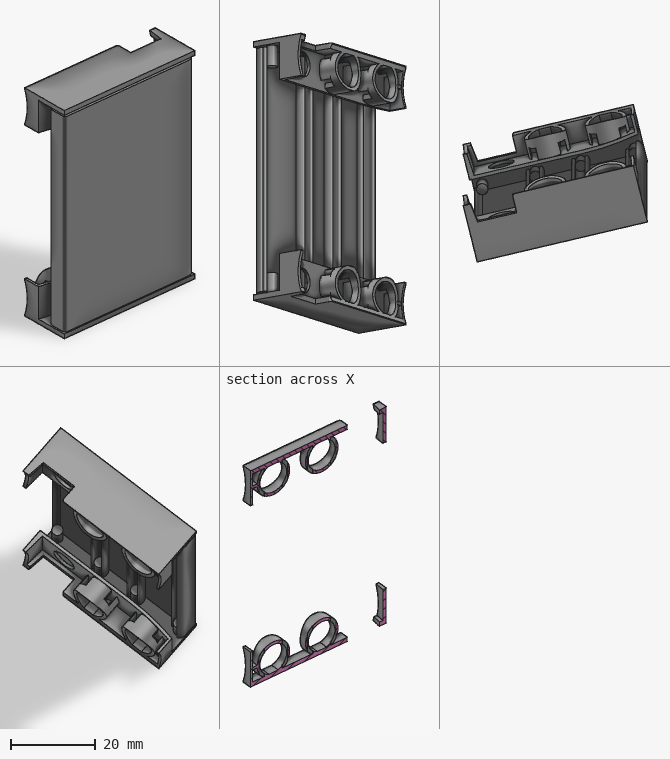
import cadquery as cq
import math


length_z = 63.0
width_y = 41.45
depth_x = 14.3

bracket_height = 10.3
bracket_depth = 14.1
plate_thickness = 1.3
wall_front_x = 5.6
wall_thickness = 0.8
wall_back_x = wall_front_x + wall_thickness
bend_start_y = 13.7
bend_setback = 1.5
bend_radius = (bend_start_y ** 2 + bend_setback ** 2) / (2 * bend_setback)
near_flange = 0.7
far_flange_tip = 0.9
far_flange_root = 1.3
mid_z = bracket_height / 2

notch_step = 0.95
notch_depth = wall_front_x - notch_step
notch_near_y = width_y - 11.9
notch_far_tip = 1.75
notch_far_root = 2.4
notch_round = 0.6

ring_centres_y = [7.0, 21.75]
ring_diameter = 10.1
ring_bore = 8.1
ring_slot_near = 2.8
ring_slot_far = 4.35
ring_slot_depth = 2.85
access_hole_y = 33.5
access_hole_diameter = 6.2
rib_thickness = 0.9
rib_front_x = 1.0

hollow_depth = 0.9
hollow_land = 0.25
hollow_half_height = mid_z - hollow_land
hollow_radius = (hollow_half_height ** 2 + hollow_depth ** 2) / (2 * hollow_depth)

pin_diameter = 2.7
pin_top_z = 6.3
pin_x = 10.2
channel_inner = pin_diameter / 2
channel_wall = 0.8
channel_outer = channel_inner + channel_wall
near_channel_y = channel_outer
far_channel_y = width_y - channel_outer
middle_channels_y = [15.25, 26.35]
pin_centres_y = [near_channel_y, *middle_channels_y, far_channel_y]

near_channel_span = (-143.0, 90.0)
middle_channel_span = (-115.0, 115.0)
far_channel_span = (15.0, 65.0)

end_gap = 1.75
web_front_x = 11.6
near_corner_round = 0.9
far_corner_round = channel_outer
far_front_round = 0.4


def block(x0, x1, y0, y1, z0, z1):
    """Box between the given limits."""
    return cq.Workplane("XY").box(x1 - x0, y1 - y0, z1 - z0, centered=False).translate((x0, y0, z0))


def rod_x(y, diameter, x0, x1):
    """Cylinder along X at the middle of the bracket's height."""
    return cq.Workplane("YZ", origin=(x0, y, mid_z)).circle(diameter / 2).extrude(x1 - x0)


def make_plate():
    """End plate with the tapered notch in its front edge."""
    plate = block(0, bracket_depth, 0, width_y, 0, plate_thickness)
    notch = (
        cq.Workplane("XY")
        .moveTo(0, notch_near_y)
        .lineTo(notch_depth, notch_near_y)
        .lineTo(notch_depth, width_y - notch_far_root)
        .lineTo(0, width_y - notch_far_tip)
        .close()
        .extrude(plate_thickness)
    )
    mouth_corner = cq.selectors.NearestToPointSelector((0, notch_near_y, plate_thickness / 2))
    return plate.cut(notch).edges(mouth_corner).fillet(notch_round)


def space_before_wall(flat_x, radius):
    """Full-height space from x = 0 to a face that is flat at flat_x and bends forward on a radius."""

    def bent_x(y):
        return flat_x - radius + math.sqrt(radius ** 2 - (bend_start_y - y) ** 2)

    return (
        cq.Workplane("XY")
        .lineTo(bent_x(0), 0)
        .threePointArc((bent_x(bend_start_y / 2), bend_start_y / 2), (flat_x, bend_start_y))
        .lineTo(flat_x, width_y)
        .lineTo(0, width_y)
        .close()
        .extrude(bracket_height)
    )


def make_flanges():
    """Side flanges that run forward from both ends of the wall."""
    near = block(0, wall_back_x - bend_setback, 0, near_flange, 0, bracket_height)
    far = (
        cq.Workplane("XY")
        .moveTo(0, width_y)
        .lineTo(0, width_y - far_flange_tip)
        .lineTo(wall_front_x, width_y - far_flange_root)
        .lineTo(wall_back_x, width_y - far_flange_root)
        .lineTo(wall_back_x, width_y)
        .close()
        .extrude(bracket_height)
    )
    return near.union(far)


def make_ring(y):
    """Ring in front of the wall, with two slots along Z at its wall end."""
    ring = rod_x(y, ring_diameter, 0, wall_front_x).cut(rod_x(y, ring_bore, 0, wall_front_x))
    for near, far in [(-ring_slot_far, -ring_slot_near), (ring_slot_near, ring_slot_far)]:
        slot = block(wall_front_x - ring_slot_depth, wall_front_x, y + near, y + far, 0, bracket_height)
        ring = ring.cut(slot)
    return ring


def make_rib():
    """Thin rib between the first ring and the near flange."""
    ring_edge_y = ring_centres_y[0] - (ring_diameter + ring_bore) / 4
    return block(
        rib_front_x, wall_front_x - bend_setback,
        0, ring_edge_y,
        mid_z - rib_thickness / 2, mid_z + rib_thickness / 2,
    )


def make_bracket():
    """Lower end bracket with its four pins."""
    before_back = space_before_wall(wall_back_x, bend_radius)
    wall = before_back.cut(space_before_wall(wall_front_x, bend_radius - wall_thickness))
    bracket = wall.cut(rod_x(access_hole_y, access_hole_diameter, 0, bracket_depth))
    bracket = bracket.union(make_flanges()).union(make_plate())
    for y in ring_centres_y:
        bracket = bracket.union(make_ring(y).intersect(before_back))
    bracket = bracket.union(make_rib())
    hollow = (
        cq.Workplane("XZ", origin=(hollow_depth - hollow_radius, 0, mid_z))
        .circle(hollow_radius)
        .extrude(-width_y)
    )
    bracket = bracket.cut(hollow)
    for y in pin_centres_y:
        pin = cq.Workplane("XY").center(pin_x, y).circle(pin_diameter / 2).extrude(pin_top_z)
        bracket = bracket.union(pin)
    return bracket


def channel_point(y, radius, angle):
    """Point at a radius and an angle in degrees about the axis of the channel at y."""
    turn = math.radians(angle)
    return (pin_x + radius * math.cos(turn), y + radius * math.sin(turn))


def make_channel(y, span, height):
    """Open round channel: an arc of tube whose ends are rounded into lips."""
    start, end = span
    middle = (start + end) / 2
    channel = (
        cq.Workplane("XY")
        .moveTo(*channel_point(y, channel_inner, start))
        .threePointArc(channel_point(y, channel_inner, middle), channel_point(y, channel_inner, end))
        .lineTo(*channel_point(y, channel_outer, end))
        .threePointArc(channel_point(y, channel_outer, middle), channel_point(y, channel_outer, start))
        .close()
        .extrude(height)
    )
    lip_radius = channel_wall / 2
    for angle in span:
        x_lip, y_lip = channel_point(y, channel_inner + lip_radius, angle)
        lip = cq.Workplane("XY").center(x_lip, y_lip).circle(lip_radius).extrude(height)
        channel = channel.union(lip)
    return channel


def make_panel():
    """Extruded panel: a flat web with a channel for every pair of pins."""
    height = length_z - 2 * end_gap
    panel = block(web_front_x, depth_x, 0, width_y, 0, height)
    panel = panel.edges("|Z and >X and >Y").fillet(far_corner_round)
    panel = panel.edges("|Z and <X and >Y").fillet(far_front_round)
    near_side = block(pin_x, web_front_x, 0, channel_wall, 0, height)
    panel = panel.union(near_side).edges("|Z and >X and <Y").fillet(near_corner_round)
    panel = panel.union(make_channel(near_channel_y, near_channel_span, height))
    for y in middle_channels_y:
        panel = panel.union(make_channel(y, middle_channel_span, height))
    panel = panel.union(make_channel(far_channel_y, far_channel_span, height))
    return panel.translate((0, 0, end_gap))


lower_bracket = make_bracket()
upper_bracket = lower_bracket.mirror("XY").translate((0, 0, length_z))
panel = make_panel()

result = cq.Compound.makeCompound([lower_bracket.val(), upper_bracket.val(), panel.val()])